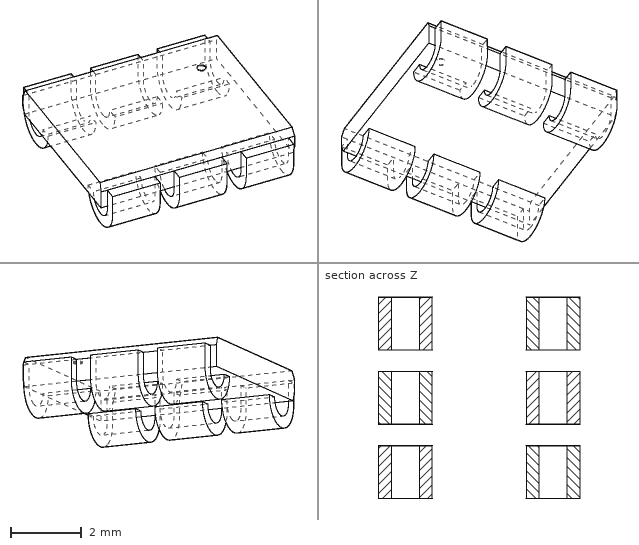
import cadquery as cq

HOUSING_WIDTH = 5.1
HOUSING_LENGTH = 6.1
CAP_HEIGHT = 0.245
BAND_HEIGHT = 0.37
BASE_HEIGHT = 0.245
CAP_INSET_X = 0.12
BASE_INSET_X = 0.07
END_INSET_Y = 0.025

OVERALL_WIDTH = 5.79
OVERALL_HEIGHT = 1.7
LEAD_THICKNESS = (OVERALL_WIDTH - HOUSING_WIDTH) / 2
LEAD_WIDTH = 1.5
LEAD_PITCH = 2.105
LEADS_PER_SIDE = 3
BEND_OUTER_RADIUS = 0.8
BEND_INNER_RADIUS = BEND_OUTER_RADIUS - LEAD_THICKNESS

MARKER_DIAMETER = 0.255
MARKER_DEPTH = 0.03
MARKER_X = -1.245
MARKER_Y = 1.945

TOP_Z = OVERALL_HEIGHT
BAND_TOP_Z = TOP_Z - CAP_HEIGHT
BAND_BOTTOM_Z = BAND_TOP_Z - BAND_HEIGHT
BASE_BOTTOM_Z = BAND_BOTTOM_Z - BASE_HEIGHT
BEND_CENTER_Z = BEND_OUTER_RADIUS


def make_taper(start_z, end_z, inset_x):
    """Frustum from the full band outline at start_z to the inset outline at end_z."""
    return (
        cq.Workplane("XY", origin=(0, 0, start_z))
        .rect(HOUSING_WIDTH, HOUSING_LENGTH)
        .workplane(offset=end_z - start_z)
        .rect(HOUSING_WIDTH - 2 * inset_x, HOUSING_LENGTH - 2 * END_INSET_Y)
        .loft(ruled=True)
    )


def make_marker():
    """Disc whose top is level with the top of the housing."""
    return (
        cq.Workplane("XY", origin=(MARKER_X, MARKER_Y, TOP_Z))
        .circle(MARKER_DIAMETER / 2)
        .extrude(-MARKER_DEPTH)
    )


def make_housing():
    """Band, cap and base in one solid, with a recess for the marker."""
    band = (
        cq.Workplane("XY", origin=(0, 0, BAND_BOTTOM_Z))
        .rect(HOUSING_WIDTH, HOUSING_LENGTH)
        .extrude(BAND_HEIGHT)
    )
    cap = make_taper(BAND_TOP_Z, TOP_Z, CAP_INSET_X)
    base = make_taper(BAND_BOTTOM_Z, BASE_BOTTOM_Z, BASE_INSET_X)
    return band.union(cap).union(base).cut(make_marker())


def make_lead(side, center_y):
    """Upright leg against the housing wall, curled half a turn inward below it.

    side is -1 for the -X row and +1 for the +X row.
    """
    outer_x = side * OVERALL_WIDTH / 2
    wall_x = side * HOUSING_WIDTH / 2
    bend_x = outer_x - side * BEND_OUTER_RADIUS
    tip_outer_x = bend_x - side * BEND_OUTER_RADIUS
    tip_inner_x = bend_x - side * BEND_INNER_RADIUS
    return (
        cq.Workplane("XZ", origin=(0, center_y, 0))
        .moveTo(wall_x, BAND_TOP_Z)
        .lineTo(outer_x, BAND_TOP_Z)
        .lineTo(outer_x, BEND_CENTER_Z)
        .threePointArc((bend_x, BEND_CENTER_Z - BEND_OUTER_RADIUS), (tip_outer_x, BEND_CENTER_Z))
        .lineTo(tip_inner_x, BEND_CENTER_Z)
        .threePointArc((bend_x, BEND_CENTER_Z - BEND_INNER_RADIUS), (wall_x, BEND_CENTER_Z))
        .close()
        .extrude(LEAD_WIDTH / 2, both=True)
    )


housing = make_housing()
marker = make_marker()

leads = []
for side in (-1, 1):
    for index in range(LEADS_PER_SIDE):
        center_y = (index - (LEADS_PER_SIDE - 1) / 2) * LEAD_PITCH
        leads.append(make_lead(side, center_y).val())

result = cq.Compound.makeCompound([housing.val(), marker.val(), *leads])